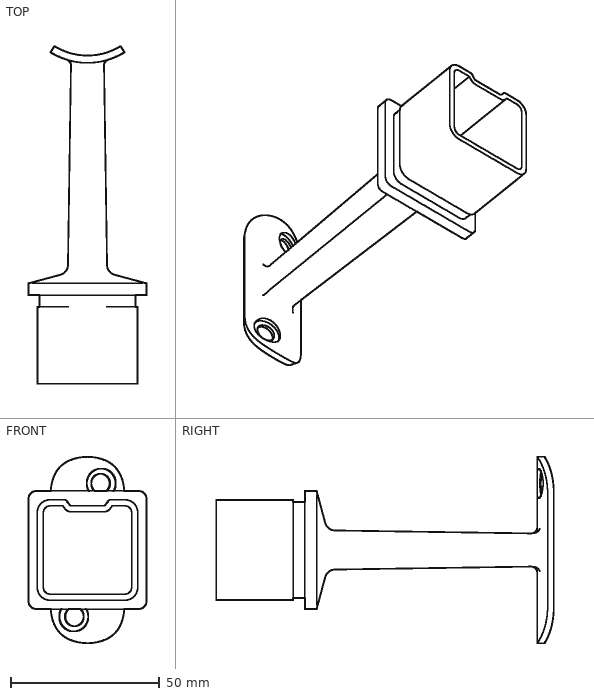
import cadquery as cq
import math

TOTAL_LENGTH = 114.1

FLANGE_SIDE = 40.0
FLANGE_THICKNESS = 4.0
FLANGE_CORNER = 2.7
SHOULDER_SLOPE = 15.0
SHOULDER_FILLET = 3.4

PLUG_SIDE = 33.9
PLUG_LENGTH = 30.0
PLUG_CORNER = 4.2
PLUG_WALL = 2.0
CAVITY_FLOOR_FILLET = 2.0
NECK_LENGTH = 4.0
NECK_STEP = 0.7

GROOVE_DEPTH = 2.0
GROOVE_TOP_WIDTH = 14.4
GROOVE_BOTTOM_WIDTH = 11.6
GROOVE_FILLET = 1.0

ARM_ROOT_SIDE = 13.5
ARM_TIP_SIDE = 11.2
ARM_FILLET = 1.9

SADDLE_INNER_RADIUS = 21.2
SADDLE_THICKNESS = 2.5
SADDLE_WIDTH = 25.0
SADDLE_HEIGHT = 63.0
SADDLE_STRAIGHT_HEIGHT = 37.9

HOLE_DIAMETER = 6.5
COUNTERBORE_DIAMETER = 10.0
COUNTERBORE_DEPTH = 1.5
HOLE_Z = 22.5
HOLE_ANGLE = 11.7

CLEARANCE = 0.2

saddle_outer_radius = SADDLE_INNER_RADIUS + SADDLE_THICKNESS
saddle_edge_angle = math.asin(SADDLE_WIDTH / 2 / saddle_outer_radius)
saddle_tip_y = TOTAL_LENGTH - PLUG_LENGTH
saddle_axis_y = saddle_tip_y + SADDLE_INNER_RADIUS * math.cos(saddle_edge_angle)
saddle_front_y = saddle_axis_y - saddle_outer_radius


def section(y):
    """Work plane across the bracket at the given Y, with local x along X and local y along Z."""
    return cq.Workplane("XZ", origin=(0, y, 0))


def rounded_square_bar(side, corner, y_start, length):
    """Square bar with rounded long edges, running from y_start towards -Y."""
    bar = section(y_start).rect(side, side).extrude(length)
    return bar.edges("|Y").fillet(corner)


def make_stem_profile():
    """Shoulder and tapered arm as a plate in X and Y, blended where the slope runs into the arm."""
    slope = math.tan(math.radians(SHOULDER_SLOPE))
    tip_y = saddle_front_y + SADDLE_THICKNESS / 2
    taper = (ARM_ROOT_SIDE - ARM_TIP_SIDE) / 2 / (tip_y - FLANGE_THICKNESS)
    rise = (FLANGE_SIDE - ARM_ROOT_SIDE) / 2 * slope / (1 - taper * slope)
    joint_half = ARM_ROOT_SIDE / 2 - taper * rise
    joint_y = FLANGE_THICKNESS + rise
    half_outline = [
        (FLANGE_SIDE / 2, FLANGE_THICKNESS),
        (joint_half, joint_y),
        (ARM_TIP_SIDE / 2, tip_y),
    ]
    outline = half_outline + [(-x, y) for x, y in reversed(half_outline)]
    plate = cq.Workplane("XY").polyline(outline).close().extrude(FLANGE_SIDE / 2, both=True)
    joint_corners = cq.selectors.BoxSelector(
        (-ARM_ROOT_SIDE, joint_y - CLEARANCE, -FLANGE_SIDE), (ARM_ROOT_SIDE, joint_y + CLEARANCE, FLANGE_SIDE)
    )
    return plate.edges("|Z").edges(joint_corners).fillet(SHOULDER_FILLET)


def make_stem():
    """Square shoulder and arm: the same profile in X and in Z, trimmed to the flange corners."""
    profile = make_stem_profile()
    stem = profile.intersect(profile.rotate((0, 0, 0), (0, 1, 0), 90))
    return stem.intersect(rounded_square_bar(FLANGE_SIDE, FLANGE_CORNER, TOTAL_LENGTH, TOTAL_LENGTH))


def make_groove():
    """Solid that fills the groove along the whole plug."""
    top = PLUG_SIDE / 2
    half_top = GROOVE_TOP_WIDTH / 2
    half_bottom = GROOVE_BOTTOM_WIDTH / 2
    outline = [
        (-half_top, top),
        (-half_bottom, top - GROOVE_DEPTH),
        (half_bottom, top - GROOVE_DEPTH),
        (half_top, top),
    ]
    return section(0).polyline(outline).close().extrude(PLUG_LENGTH)


def round_groove(bar):
    """Round the four long edges of the groove."""
    half_width = GROOVE_TOP_WIDTH / 2
    top = PLUG_SIDE / 2
    groove_zone = cq.selectors.BoxSelector(
        (-half_width - CLEARANCE, -PLUG_LENGTH, top - GROOVE_DEPTH - CLEARANCE),
        (half_width + CLEARANCE, 0, top + CLEARANCE),
    )
    return bar.edges("|Y").edges(groove_zone).fillet(GROOVE_FILLET)


def make_grooved_bar(side, corner, y_start, length):
    """Solid rounded square bar with the groove along its top."""
    return round_groove(rounded_square_bar(side, corner, y_start, length).cut(make_groove()))


def make_cavity(body):
    """Cavity that follows the plug body outline at one wall thickness, with a rounded floor."""
    outline = body.faces("<Y").wires().val().offset2D(-PLUG_WALL)[0]
    face = cq.Face.makeFromWires(outline)
    cavity = cq.Workplane(cq.Solid.extrudeLinear(face, cq.Vector(0, PLUG_LENGTH, 0)))
    return cavity.faces(">Y").edges().fillet(CAVITY_FLOOR_FILLET)


def make_plug():
    """Grooved hollow plug with a narrower neck beside the flange."""
    body = make_grooved_bar(PLUG_SIDE, PLUG_CORNER, -NECK_LENGTH, PLUG_LENGTH - NECK_LENGTH)
    neck_side = PLUG_SIDE - 2 * NECK_STEP
    neck = make_grooved_bar(neck_side, PLUG_CORNER - NECK_STEP, 0, NECK_LENGTH)
    return neck.union(body).cut(make_cavity(body))


def saddle_outline(radius):
    """Round-ended outline of the saddle plate at one distance from the saddle axis."""
    half_width = radius * math.tan(saddle_edge_angle)
    half_straight = SADDLE_STRAIGHT_HEIGHT / 2
    end_height = SADDLE_HEIGHT / 2 - half_straight
    outline = section(saddle_axis_y - radius).moveTo(half_width, -half_straight)
    outline = outline.lineTo(half_width, half_straight)
    outline = outline.ellipseArc(half_width, end_height, 0, 180, startAtCurrent=True)
    outline = outline.lineTo(-half_width, -half_straight)
    outline = outline.ellipseArc(half_width, end_height, 180, 360, startAtCurrent=True)
    return outline.close().val()


def make_saddle():
    """Cylindrical plate whose side walls all point at the saddle axis."""
    shell = cq.Workplane("XY", origin=(0, saddle_axis_y, -SADDLE_HEIGHT / 2))
    shell = shell.circle(saddle_outer_radius).circle(SADDLE_INNER_RADIUS).extrude(SADDLE_HEIGHT)
    near_outline = saddle_outline(SADDLE_INNER_RADIUS * math.cos(saddle_edge_angle) - CLEARANCE)
    far_outline = saddle_outline(saddle_outer_radius + CLEARANCE)
    boundary = cq.Workplane(cq.Solid.makeLoft([near_outline, far_outline], True))
    return shell.intersect(boundary)


def make_screw_hole(side):
    """Counterbored hole square to the saddle, at top right (side = 1) or bottom left (side = -1)."""
    angle = math.radians(side * HOLE_ANGLE)
    outward = cq.Vector(math.sin(angle), -math.cos(angle), 0)
    axis_point = cq.Vector(0, saddle_axis_y, side * HOLE_Z)
    hole = cq.Solid.makeCylinder(HOLE_DIAMETER / 2, saddle_outer_radius + CLEARANCE, axis_point, outward)
    floor_point = axis_point + outward * (saddle_outer_radius - COUNTERBORE_DEPTH)
    counterbore = cq.Solid.makeCylinder(
        COUNTERBORE_DIAMETER / 2, COUNTERBORE_DEPTH + CLEARANCE, floor_point, outward
    )
    return cq.Workplane(hole.fuse(counterbore))


def make_support():
    """Flange, arm and saddle plate, with a fillet where the arm meets the plate."""
    flange = rounded_square_bar(FLANGE_SIDE, FLANGE_CORNER, FLANGE_THICKNESS, FLANGE_THICKNESS)
    support = flange.union(make_stem()).union(make_saddle())
    reach = ARM_TIP_SIDE / 2 + CLEARANCE
    tip_joint = cq.selectors.BoxSelector(
        (-reach, saddle_front_y - CLEARANCE, -reach), (reach, saddle_front_y + SADDLE_THICKNESS / 2, reach)
    )
    return support.edges(tip_joint).fillet(ARM_FILLET)


result = make_support().union(make_plug())
for side in (1, -1):
    result = result.cut(make_screw_hole(side))